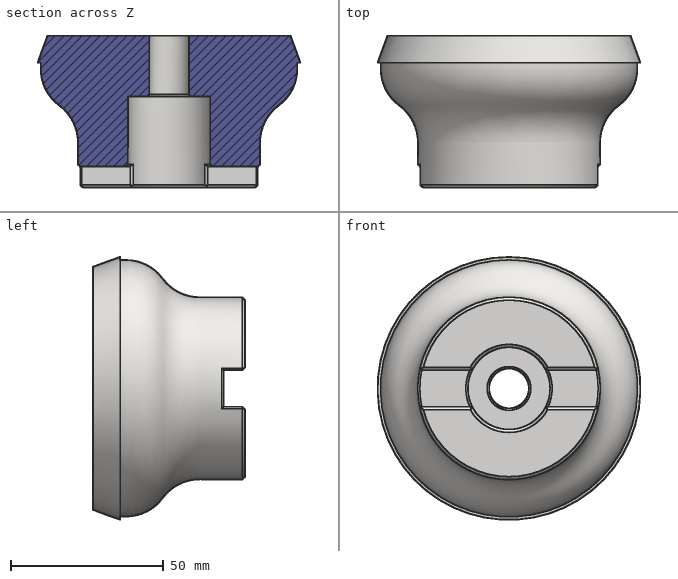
import cadquery as cq
import math

LENGTH = 50.0
RIM_RADIUS = 43.245
BACK_RADIUS = 40.0
RIM_TAPER = 20.0
RIM_STEP = 1.0
DOME_RADIUS = RIM_RADIUS - RIM_STEP
NECK_RADIUS = 30.0
NECK_LENGTH = 15.0
FLARE_RADIUS = 15.0
FRONT_CHAMFER = 1.0

BORE_RADIUS = 13.5
BORE_DEPTH = 30.0
HOLE_RADIUS = 6.5
HOLE_CHAMFER = 0.7

SLOT_WIDTH = 12.0
SLOT_DEPTH = 7.0
SLOT_END_CHAMFER = 0.7

SELECTION_MARGIN = 0.1

rim_length = (RIM_RADIUS - BACK_RADIUS) / math.tan(math.radians(RIM_TAPER))
rim_y = LENGTH - rim_length
flare_radial_step = (DOME_RADIUS - NECK_RADIUS) / 2
flare_angle = math.acos(1 - flare_radial_step / FLARE_RADIUS)
flare_axial_step = FLARE_RADIUS * math.sin(flare_angle)
flare_mid_y = NECK_LENGTH + flare_axial_step
flare_mid_radius = NECK_RADIUS + flare_radial_step
dome_y = flare_mid_y + flare_axial_step


def make_body():
    """Revolve the bell-shaped outline about the Y axis."""
    half_sag = FLARE_RADIUS * (1 - math.cos(flare_angle / 2))
    half_run = FLARE_RADIUS * math.sin(flare_angle / 2)
    return (
        cq.Workplane("YZ")
        .moveTo(0, 0)
        .lineTo(0, NECK_RADIUS)
        .lineTo(NECK_LENGTH, NECK_RADIUS)
        .threePointArc(
            (NECK_LENGTH + half_run, NECK_RADIUS + half_sag),
            (flare_mid_y, flare_mid_radius),
        )
        .threePointArc((dome_y - half_run, DOME_RADIUS - half_sag), (dome_y, DOME_RADIUS))
        .lineTo(rim_y, DOME_RADIUS)
        .lineTo(rim_y, RIM_RADIUS)
        .lineTo(LENGTH, BACK_RADIUS)
        .lineTo(LENGTH, 0)
        .close()
        .revolve(360, (0, 0, 0), (1, 0, 0))
    )


def cylinder_from_front(radius, length):
    """Solid cylinder on the Y axis, running from the front face towards +Y."""
    return cq.Workplane("XZ").circle(radius).extrude(-length)


def cut_hole(body):
    """Bore the through hole and chamfer its mouth at the bottom of the bore."""
    mouth = (
        cq.Workplane("XY")
        .moveTo(0, BORE_DEPTH)
        .lineTo(HOLE_RADIUS + HOLE_CHAMFER, BORE_DEPTH)
        .lineTo(HOLE_RADIUS, BORE_DEPTH + HOLE_CHAMFER)
        .lineTo(0, BORE_DEPTH + HOLE_CHAMFER)
        .close()
        .revolve(360, (0, 0, 0), (0, 1, 0))
    )
    return body.cut(cylinder_from_front(HOLE_RADIUS, LENGTH)).cut(mouth)


def cut_slot(body):
    """Cut the slot right across the neck."""
    slot = cq.Workplane("XY").box(
        2 * RIM_RADIUS, SLOT_DEPTH, SLOT_WIDTH, centered=(True, False, True)
    )
    return body.cut(slot)


def chamfer_slot_ends(body):
    """Chamfer the edges where the slot floor and sides meet the neck and the bore."""
    half_width = SLOT_WIDTH / 2 + SELECTION_MARGIN
    slot_region = cq.selectors.BoxSelector(
        (-RIM_RADIUS, SELECTION_MARGIN, -half_width),
        (RIM_RADIUS, SLOT_DEPTH + SELECTION_MARGIN, half_width),
    )
    along_slot = cq.selectors.ParallelDirSelector(cq.Vector(1, 0, 0))
    return body.edges(slot_region - along_slot).chamfer(SLOT_END_CHAMFER)


body = make_body().cut(cylinder_from_front(BORE_RADIUS, BORE_DEPTH))
body = cut_slot(cut_hole(body))
body = body.faces("<Y").edges().chamfer(FRONT_CHAMFER)
result = chamfer_slot_ends(body)